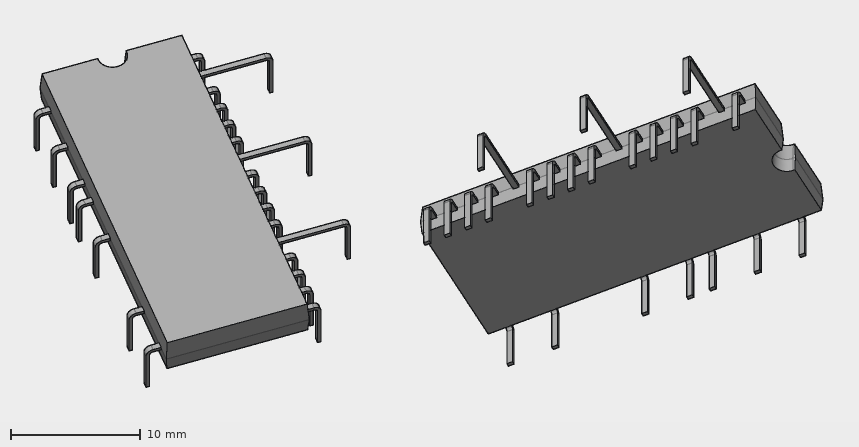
import cadquery as cq

body_length = 29.0
body_width = 11.77
upper_height = 1.8
lower_height = 1.3
draft_angle = 4.0

notch_radius = 1.05
notch_depth = 1.28

lead_width = 0.5
lead_thickness = 0.3
lead_top = 0.1
lead_bottom_tip = -4.25
bend_radius = 0.58
lead_embed = 0.58

long_reach = 12.18
short_reach = 7.2
front_reach = 7.13

rear_lead_count = 16
rear_row_span = 26.68
rear_pitch = rear_row_span / (rear_lead_count - 1)
long_lead_slots = (1, 6, 11)

front_pitch = 3.9
front_first_x = -12.18
front_lead_slots = (0, 1, 2, 2.5, 3.5, 5.5, 6.5)


def body_half(height):
    """Half of the body, drafted inwards away from the parting plane (negative height goes down)."""
    end_x = body_length / 2
    side_y = body_width / 2
    notch_tip_x = -end_x + notch_depth
    notch_centre_x = notch_tip_x - notch_radius
    half = (
        cq.Workplane("XY")
        .moveTo(-end_x, -side_y)
        .lineTo(end_x, -side_y)
        .lineTo(end_x, side_y)
        .lineTo(-end_x, side_y)
        .lineTo(-end_x, notch_radius)
        .lineTo(notch_centre_x, notch_radius)
        .threePointArc((notch_tip_x, 0), (notch_centre_x, -notch_radius))
        .lineTo(-end_x, -notch_radius)
        .close()
        .extrude(abs(height), taper=draft_angle)
    )
    return half if height > 0 else half.mirror("XY")


def lead(x, reach, side):
    """Strip leaving the body at the parting plane and bent down; side is +1 for +Y, -1 for -Y."""
    root_y = side * (body_width / 2 - lead_embed)
    outer_y = side * reach
    inner_y = side * (reach - lead_thickness)
    lead_underside = lead_top - lead_thickness
    inner_radius = bend_radius - lead_thickness
    return (
        cq.Workplane("YZ", origin=(x - lead_width / 2, 0, 0))
        .moveTo(root_y, lead_top)
        .lineTo(outer_y - side * bend_radius, lead_top)
        .radiusArc((outer_y, lead_top - bend_radius), side * bend_radius)
        .lineTo(outer_y, lead_bottom_tip)
        .lineTo(inner_y, lead_bottom_tip)
        .lineTo(inner_y, lead_underside - inner_radius)
        .radiusArc((inner_y - side * inner_radius, lead_underside), -side * inner_radius)
        .lineTo(root_y, lead_underside)
        .close()
        .extrude(lead_width)
    )


result = body_half(upper_height).union(body_half(-lower_height))

rear_first_x = -rear_row_span / 2
for slot in range(rear_lead_count):
    rear_reach = long_reach if slot in long_lead_slots else short_reach
    result = result.union(lead(rear_first_x + slot * rear_pitch, rear_reach, 1))

for slot in front_lead_slots:
    result = result.union(lead(front_first_x + slot * front_pitch, front_reach, -1))